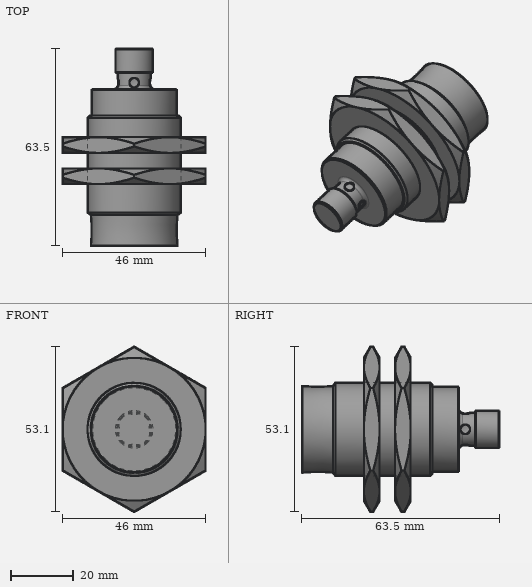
import cadquery as cq
import math

TOTAL_LENGTH = 63.5
CAP_LENGTH = 10.05
SLEEVE_END = 42.0
BARREL_END = 50.5
HEAD_START = 55.6

CAP_END_RADIUS = 14.0
CAP_WAIST_RADIUS = 13.7
SLEEVE_RADIUS = 15.0
BARREL_RADIUS = 13.7
NECK_RADIUS = 5.35
HEAD_RADIUS = 6.05

CAP_EDGE_CHAMFER = 0.2
SLEEVE_CHAMFER = 0.75
BARREL_CHAMFER = 0.4
HEAD_CHAMFER = 0.4
NECK_FILLET = 1.15

DIMPLE_COUNT = 4
DIMPLE_RADIUS = 1.5
DIMPLE_STATION = 52.5
DIMPLE_FLOOR_RADIUS = 4.75
DIMPLE_DISH_DEPTH = 0.2

NUT_SIDES = 6
NUT_WIDTH = 46.0
NUT_THICKNESS = 5.0
NUT_CHAMFER_ANGLE = 30.0
FIRST_NUT_START = 19.95
NUT_PITCH = 2 * NUT_THICKNESS
NUT_COUNT = 2


def turned_sensor():
    """Solid of revolution: waisted cap, sleeve, rear barrel, neck and connector head."""
    cap_middle = (CAP_EDGE_CHAMFER + CAP_LENGTH) / 2
    fillet_mid = NECK_FILLET * (1 - math.sqrt(0.5))
    profile = (
        cq.Workplane("XY")
        .lineTo(CAP_END_RADIUS - CAP_EDGE_CHAMFER, 0)
        .lineTo(CAP_END_RADIUS, CAP_EDGE_CHAMFER)
        .threePointArc((CAP_WAIST_RADIUS, cap_middle), (CAP_END_RADIUS, CAP_LENGTH))
        .lineTo(SLEEVE_RADIUS, CAP_LENGTH + SLEEVE_CHAMFER)
        .lineTo(SLEEVE_RADIUS, SLEEVE_END - SLEEVE_CHAMFER)
        .lineTo(SLEEVE_RADIUS - SLEEVE_CHAMFER, SLEEVE_END)
        .lineTo(BARREL_RADIUS, SLEEVE_END)
        .lineTo(BARREL_RADIUS, BARREL_END - BARREL_CHAMFER)
        .lineTo(BARREL_RADIUS - BARREL_CHAMFER, BARREL_END)
        .lineTo(NECK_RADIUS + NECK_FILLET, BARREL_END)
        .threePointArc(
            (NECK_RADIUS + fillet_mid, BARREL_END + fillet_mid),
            (NECK_RADIUS, BARREL_END + NECK_FILLET),
        )
        .lineTo(NECK_RADIUS, HEAD_START)
        .lineTo(HEAD_RADIUS - HEAD_CHAMFER, HEAD_START)
        .lineTo(HEAD_RADIUS, HEAD_START + HEAD_CHAMFER)
        .lineTo(HEAD_RADIUS, TOTAL_LENGTH - HEAD_CHAMFER)
        .lineTo(HEAD_RADIUS - HEAD_CHAMFER, TOTAL_LENGTH)
        .lineTo(0, TOTAL_LENGTH)
        .close()
    )
    return profile.revolve(360, (0, 0, 0), (0, 1, 0))


def cut_dimples(sensor):
    """Sink a round dimple with a slightly dished floor into the neck on each of the X and Z sides."""
    dish_radius = (DIMPLE_RADIUS**2 + DIMPLE_DISH_DEPTH**2) / (2 * DIMPLE_DISH_DEPTH)
    bore = (
        cq.Workplane("XY", origin=(0, DIMPLE_STATION, DIMPLE_FLOOR_RADIUS))
        .circle(DIMPLE_RADIUS)
        .extrude(HEAD_RADIUS - DIMPLE_FLOOR_RADIUS)
    )
    dish = cq.Workplane("XY").sphere(dish_radius).translate(
        (0, DIMPLE_STATION, DIMPLE_FLOOR_RADIUS + dish_radius)
    )
    dimple = bore.intersect(dish)
    for index in range(DIMPLE_COUNT):
        angle = 360 * index / DIMPLE_COUNT
        sensor = sensor.cut(dimple.rotate((0, 0, 0), (0, 1, 0), angle))
    return sensor


def lock_nut(start):
    """Hexagonal nut with corners up and down, chamfered on both faces, bored to fit the sleeve."""
    flat_radius = NUT_WIDTH / 2
    corner_radius = flat_radius / math.cos(math.pi / NUT_SIDES)
    chamfer_depth = (corner_radius - flat_radius) * math.tan(math.radians(NUT_CHAMFER_ANGLE))
    corner_angles = [2 * math.pi * side / NUT_SIDES for side in range(NUT_SIDES)]
    corners = [(corner_radius * math.sin(angle), corner_radius * math.cos(angle)) for angle in corner_angles]
    hexagon = cq.Workplane("XZ").polyline(corners).close().extrude(-NUT_THICKNESS)
    turned_blank = (
        cq.Workplane("XY")
        .moveTo(SLEEVE_RADIUS, 0)
        .lineTo(flat_radius, 0)
        .lineTo(corner_radius, chamfer_depth)
        .lineTo(corner_radius, NUT_THICKNESS - chamfer_depth)
        .lineTo(flat_radius, NUT_THICKNESS)
        .lineTo(SLEEVE_RADIUS, NUT_THICKNESS)
        .close()
        .revolve(360, (0, 0, 0), (0, 1, 0))
    )
    return hexagon.intersect(turned_blank).translate((0, start, 0))


sensor = cut_dimples(turned_sensor())
lock_nuts = [lock_nut(FIRST_NUT_START + index * NUT_PITCH) for index in range(NUT_COUNT)]

result = cq.Compound.makeCompound([sensor.val(), *[nut.val() for nut in lock_nuts]])